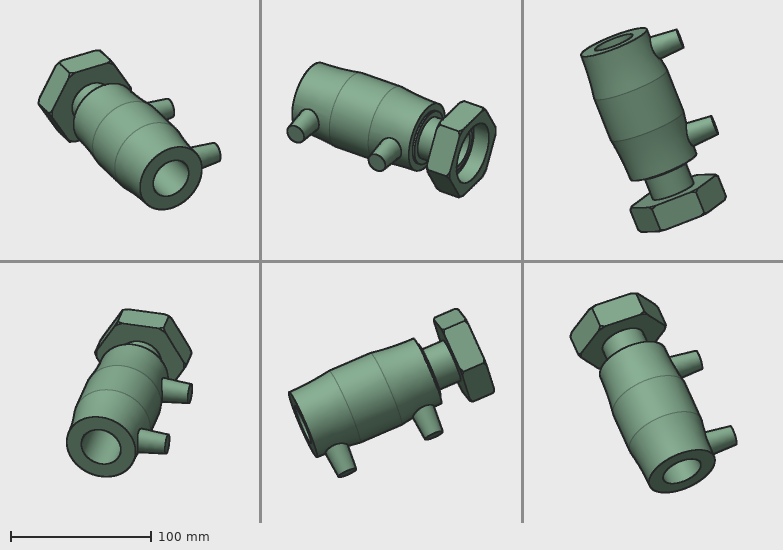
import cadquery as cq
import math

total_length = 135.0
nut_length = 18.9
body_start = 38.1
body_length = total_length - body_start
section_length = body_length / 3
flange_thickness = 1.6

neck_diameter = 31.5
flange_diameter = 40.0
body_end_diameter = 50.6
body_middle_diameter = 56.0
bore_diameter = 29.0

nut_across_flats = 58.3
nut_across_corners = nut_across_flats / math.cos(math.pi / 6)
nut_corner_chamfer = 1.6
nut_bore_diameter = 44.8
nut_bore_depth = 12.4
seat_diameter = 35.9
seat_height = 1.2

terminal_reach = 45.0
terminal_tip_diameter = 14.0
terminal_root_diameter = 17.3
terminal_taper_length = 19.7
terminal_spacing = 67.5


def cylinder(start, length, diameter):
    """Solid cylinder on the X axis, starting at X = start."""
    return cq.Workplane("YZ", origin=(start, 0, 0)).circle(diameter / 2).extrude(length)


def make_nut():
    """Hexagon with corners on the Y axis and turned-off corners at both ends."""
    hexagon = cq.Workplane("YZ").polygon(6, nut_across_corners).extrude(nut_length)
    turned_blank = cylinder(0, nut_length, nut_across_corners)
    turned_blank = turned_blank.edges("%CIRCLE").chamfer(nut_corner_chamfer)
    return hexagon.intersect(turned_blank)


def taper_middle_radius(end_radius, middle_radius, length):
    """Radius halfway along an arc that leaves the end parallel to the axis."""
    rise = middle_radius - end_radius
    arc_radius = (length**2 + rise**2) / (2 * rise)
    return end_radius + arc_radius - math.sqrt(arc_radius**2 - (length / 2) ** 2)


def make_body():
    """Barrel with a cylindrical middle third and a concave taper on each side."""
    end_radius = body_end_diameter / 2
    middle_radius = body_middle_diameter / 2
    halfway_radius = taper_middle_radius(end_radius, middle_radius, section_length)
    middle_start = body_start + section_length
    middle_end = total_length - section_length
    return (
        cq.Workplane("XY")
        .moveTo(body_start, 0)
        .lineTo(body_start, end_radius)
        .threePointArc((body_start + section_length / 2, halfway_radius), (middle_start, middle_radius))
        .lineTo(middle_end, middle_radius)
        .threePointArc((total_length - section_length / 2, halfway_radius), (total_length, end_radius))
        .lineTo(total_length, 0)
        .close()
        .revolve(360, (0, 0, 0), (1, 0, 0))
    )


def make_terminal(x_center):
    """Tapered pin running from inside the body wall out to its tip."""
    slope = (terminal_root_diameter - terminal_tip_diameter) / 2 / terminal_taper_length
    length = terminal_reach - bore_diameter / 2
    tip_radius = terminal_tip_diameter / 2
    pin = cq.Solid.makeCone(
        tip_radius,
        tip_radius + slope * length,
        length,
        pnt=cq.Vector(x_center, terminal_reach, 0),
        dir=cq.Vector(0, -1, 0),
    )
    return cq.Workplane(pin)


neck = cylinder(0, body_start, neck_diameter)
flange = cylinder(body_start - flange_thickness, flange_thickness, flange_diameter)
result = make_nut().union(neck).union(flange).union(make_body())

body_center = body_start + body_length / 2
for side in (-1, 1):
    result = result.union(make_terminal(body_center + side * terminal_spacing / 2))

result = result.cut(cylinder(0, nut_bore_depth, nut_bore_diameter))
result = result.union(cylinder(nut_bore_depth - seat_height, seat_height, seat_diameter))
result = result.cut(cylinder(0, total_length, bore_diameter))